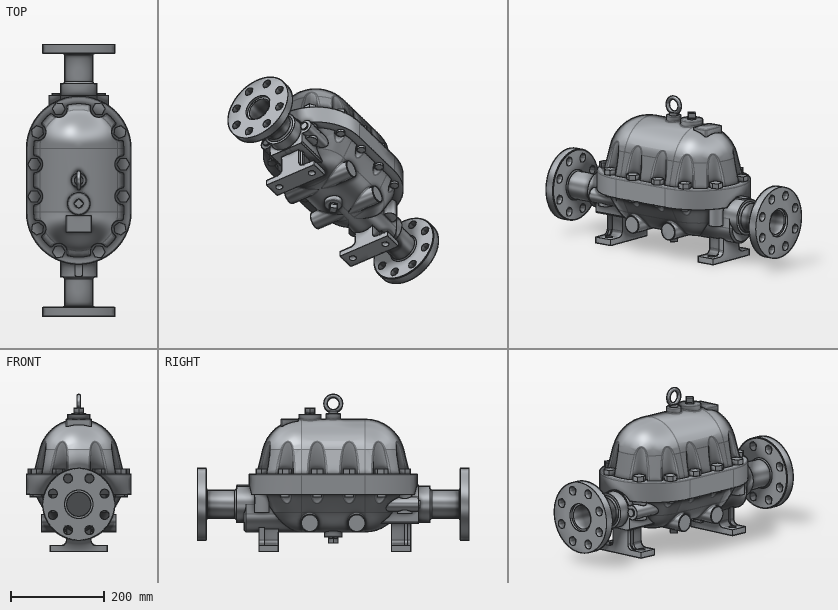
import cadquery as cq
import math


cap_offset = 68.0
band_radius = 112.5
band_top = 65.0
band_bottom = 21.5
band_taper_top = 42.5
band_edge = 2.0
draft = math.radians(14)

dome_radius = 86.2
dome_top = 183.0
dome_centre_z = dome_top - dome_radius
knee_radius = dome_radius * math.cos(draft)
knee_z = dome_centre_z + dome_radius * math.sin(draft)
dome_foot_radius = knee_radius + (knee_z - band_top) * math.tan(draft)
cover_relief_radius = 18.0
cover_relief_edge = 4.0

eye_boss_diameter = 31.5
eye_boss_top = 194.5
vent_boss_diameter = 48.0
vent_boss_top = 193.3
vent_y = -50.0
boss_edge = 2.0
nameplate_width = 54.5
nameplate_back_y = -75.0
nameplate_front_y = -112.3
nameplate_corner = 3.5
nameplate_edge = 2.0

bolt_circle_radius = 95.5
side_bolt_y = 34.5
end_bolt_angles = (22.0, 63.3)
bolt_head_flats = 24.0
bolt_head_height = 11.0
bolt_tip_diameter = 18.5
bolt_tip_bottom = 16.0

bowl_radius = 82.0
bowl_bottom = -59.6
bowl_centre_z = bowl_bottom + bowl_radius
bowl_knee_z = -17.6
bowl_knee_radius = math.sqrt(bowl_radius**2 - (bowl_centre_z - bowl_knee_z) ** 2)
bowl_wall_slope = (bowl_centre_z - bowl_knee_z) / bowl_knee_radius
bowl_rim_radius = bowl_knee_radius + (band_bottom - bowl_knee_z) * bowl_wall_slope
bowl_relief_radius = 13.0
bowl_relief_edge = 2.0

socket_diameter = 78.0
socket_end = 207.5

outlet_block_end = 182.6
outlet_block_radius = 41.5
outlet_block_bottom = -41.0
outlet_block_edge = 3.0
cast_boss_diameter = 31.5
outlet_boss_bottom = -19.6
side_boss_x = 48.5
nub_diameter = 17.0
nub_length = 3.5

inlet_boss_bottom = -17.6
trough_radius = socket_diameter / 2
trough_bottom = -60.0
trough_centre_z = trough_bottom + trough_radius
trough_end = -191.4
trough_edge = 4.4
inlet_pad_half = 8.5
inlet_pad_top = 41.5
inlet_pad_end = -206.4
inlet_pad_corner = 5.0

side_plug_diameter = 38.0
side_plug_y = 50.4
side_plug_z = -40.5
side_plug_reach = 80.5
side_plug_chamfer = 1.0
side_plug_root_fillet = 2.0
drain_boss_diameter = 38.0
drain_boss_bottom = -70.3

column_half = 22.0
foot_half_length = 61.3
foot_half_width = 20.9
foot_bottom = -101.5
foot_top = -88.5
foot_flare = 12.0
foot_hole_diameter = 15.0
foot_hole_x = 42.0
rib_half = 26.3
outlet_foot_y = 145.8
outlet_rib_y = (153.0, 159.0)
inlet_foot_y = -139.0
inlet_rib_y = (inlet_foot_y - foot_half_width, -147.5)

overall_length = 584.0
pipe_diameter = 60.5
pipe_bore = 52.0
pipe_flange_diameter = 155.0
pipe_flange_thickness = 20.0
pipe_flange_chamfer = 1.5
pipe_flange_bore = 61.1
pipe_end_recess = 6.0
flange_hole_diameter = 19.0
flange_hole_circle = 120.0
flange_hole_count = 8
socket_weld_length = 4.2
flange_weld_length = 2.5
weld_radius = 33.5

eye_tube_radius = 4.0
eye_ring_radius = 16.5
eye_centre_z = 216.0
eye_neck_diameter = 19.0
eye_neck_top = 200.5

plug_neck_diameter = 18.0
plug_neck_height = 3.2
plug_square = 15.0
plug_head_height = 10.0

on_surface = 0.01


def stadium_solid(profile):
    """Sweep a half profile (radius, z) around the stadium plan: a straight middle and two half-turned ends."""
    half = profile(cq.Workplane("XZ")).close().extrude(cap_offset, both=True)
    middle = half.union(half.mirror("YZ"))
    half_turn = profile(cq.Workplane("XZ")).close().revolve(180, (0, 0), (0, 1))
    if half_turn.val().Center().y < 0:
        half_turn = half_turn.mirror("XZ")
    end = half_turn.translate((0, cap_offset, 0))
    return middle.union(end).union(end.mirror("XZ"))


def stadium_plate(radius, bottom, top):
    plan = cq.Workplane("XY", origin=(0, 0, bottom)).slot2D(2 * (cap_offset + radius), 2 * radius, 90)
    return plan.extrude(top - bottom)


def cylinder_z(x, y, diameter, bottom, top):
    return cq.Workplane("XY", origin=(x, y, bottom)).circle(diameter / 2).extrude(top - bottom)


def cylinder_y(x, z, diameter, y_start, y_end):
    return cq.Workplane("XZ", origin=(x, y_start, z)).circle(diameter / 2).extrude(y_start - y_end)


def box(x_range, y_range, z_range):
    low, high = zip(x_range, y_range, z_range)
    size = [end - start for start, end in zip(low, high)]
    return cq.Workplane("XY").box(*size, centered=False).translate(low)


def rim_edges(solid, x, y, radius):
    """Sloping edges left on a solid by an upright cylindrical cut at (x, y)."""

    def on_cut(point):
        return abs(math.hypot(point.x - x, point.y - y) - radius) < on_surface

    def is_rim(edge):
        rises = edge.BoundingBox().zlen > on_surface
        return rises and on_cut(edge.startPoint()) and on_cut(edge.endPoint())

    return solid.edges().filter(is_rim)


def cut_reliefs(solid, spots, radius, bottom, top, edge_radius):
    """Cut a clearance groove at each bolt, then round the edges of all the grooves."""
    for x, y, _ in spots:
        solid = solid.cut(cylinder_z(x, y, 2 * radius, bottom, top))
    edges = []
    for x, y, _ in spots:
        edges += rim_edges(solid, x, y, radius).vals()
    return solid.newObject(edges).fillet(edge_radius)


side_bolts = [(x * bolt_circle_radius, y * side_bolt_y, 0.0) for x in (-1, 1) for y in (-1, 1)]


def end_bolts(angle):
    x = bolt_circle_radius * math.cos(math.radians(angle))
    y = cap_offset + bolt_circle_radius * math.sin(math.radians(angle))
    return [(i * x, j * y, i * j * angle) for i in (-1, 1) for j in (-1, 1)]


shoulder_bolts = end_bolts(end_bolt_angles[0])
boss_bolts = end_bolts(end_bolt_angles[1])
open_bolts = side_bolts + shoulder_bolts
all_bolts = open_bolts + boss_bolts


def dome_profile(plane):
    middle_angle = (math.pi / 2 + draft) / 2
    middle = (dome_radius * math.cos(middle_angle), dome_centre_z + dome_radius * math.sin(middle_angle))
    return (
        plane.moveTo(0, band_top)
        .lineTo(dome_foot_radius, band_top)
        .lineTo(knee_radius, knee_z)
        .threePointArc(middle, (0, dome_top))
    )


def add_round_boss(dome, y, diameter, top):
    """Add an upright boss, rounded where it meets the dome and around its top."""
    dome = dome.union(cylinder_z(0, y, diameter, dome_centre_z, top))

    def is_root(edge):
        start = edge.startPoint()
        on_boss = abs(math.hypot(start.x, start.y - y) - diameter / 2) < on_surface
        return on_boss and edge.geomType() != "LINE" and edge.Center().z < dome_top

    dome = dome.edges().filter(is_root).fillet(boss_edge)
    return dome.faces(cq.selectors.NearestToPointSelector((0, y, top))).edges().fillet(boss_edge)


def make_nameplate_pad():
    half = nameplate_width / 2
    pad = box((-half, half), (nameplate_front_y, nameplate_back_y), (dome_centre_z, dome_top))
    return pad.edges("|Z").fillet(nameplate_corner).faces(">Z").edges().fillet(nameplate_edge)


def make_cover():
    dome = stadium_solid(dome_profile)
    dome = cut_reliefs(dome, all_bolts, cover_relief_radius, band_top, dome_top, cover_relief_edge)
    dome = add_round_boss(dome, 0, eye_boss_diameter, eye_boss_top)
    dome = add_round_boss(dome, vent_y, vent_boss_diameter, vent_boss_top)
    return dome.union(make_nameplate_pad())


def bowl_profile(plane):
    knee_angle = math.atan2(bowl_knee_z - bowl_centre_z, bowl_knee_radius)
    middle_angle = (knee_angle - math.pi / 2) / 2
    middle = (bowl_radius * math.cos(middle_angle), bowl_centre_z + bowl_radius * math.sin(middle_angle))
    return (
        plane.moveTo(0, band_bottom)
        .lineTo(bowl_rim_radius, band_bottom)
        .lineTo(bowl_knee_radius, bowl_knee_z)
        .threePointArc(middle, (0, bowl_bottom))
    )


def make_band():
    band = stadium_plate(band_radius, band_bottom, band_top)
    band = band.faces(">Z").edges().fillet(band_edge)
    end_y = cap_offset + band_radius
    low_y = end_y - (band_taper_top - band_bottom) * math.tan(draft)
    side_shape = [
        (-end_y, band_top),
        (end_y, band_top),
        (end_y, band_taper_top),
        (low_y, band_bottom),
        (-low_y, band_bottom),
        (-end_y, band_taper_top),
    ]
    return band.intersect(cq.Workplane("YZ").polyline(side_shape).close().extrude(band_radius, both=True))


def make_side_plug(y):
    """A round bar right across the bowl, showing as a plug on each side."""
    plug = cq.Workplane("YZ", origin=(0, y, side_plug_z)).circle(side_plug_diameter / 2)
    return plug.extrude(side_plug_reach, both=True).edges().chamfer(side_plug_chamfer)


def make_bowl():
    bowl = stadium_solid(bowl_profile)
    for y in (-side_plug_y, side_plug_y):
        bowl = bowl.union(make_side_plug(y))

    def is_plug_root(edge):
        start = edge.startPoint()
        axis_distance = math.hypot(abs(start.y) - side_plug_y, start.z - side_plug_z)
        on_plug = abs(axis_distance - side_plug_diameter / 2) < on_surface
        inside_ends = abs(edge.Center().x) < side_plug_reach - 2 * side_plug_chamfer
        return on_plug and inside_ends and edge.geomType() != "LINE"

    bowl = bowl.edges().filter(is_plug_root).fillet(side_plug_root_fillet)
    return cut_reliefs(bowl, open_bolts, bowl_relief_radius, bowl_bottom, band_bottom, bowl_relief_edge)


def make_bolt_head(x, y, turn):
    corners = bolt_head_flats / math.cos(math.pi / 6)
    head = cq.Workplane("XY").polygon(6, corners).extrude(bolt_head_height)
    return head.rotate((0, 0, 0), (0, 0, 1), turn).translate((x, y, band_top))


def make_bowl_with_band():
    shell = make_bowl().union(make_band())
    for x, y, turn in all_bolts:
        shell = shell.union(make_bolt_head(x, y, turn))
    for x, y, _ in open_bolts:
        shell = shell.union(cylinder_z(x, y, bolt_tip_diameter, bolt_tip_bottom, band_bottom))
    return shell


def make_outlet_end():
    r = outlet_block_radius
    lower_block = box((-r, r), (0, outlet_block_end), (outlet_block_bottom, 0))
    end = lower_block.edges("|Y and <Z").chamfer(outlet_block_edge)
    end = end.union(cylinder_y(0, 0, 2 * r, 0, outlet_block_end))
    end = end.union(cylinder_y(0, 0, socket_diameter, 0, socket_end))
    for x in (-side_boss_x, side_boss_x):
        end = end.union(cylinder_y(x, 0, cast_boss_diameter, cap_offset, outlet_block_end))
        end = end.union(cylinder_y(x, 0, nub_diameter, cap_offset, outlet_block_end + nub_length))
    return end


def make_inlet_end():
    trough = (
        cq.Workplane("XZ")
        .moveTo(-trough_radius, 0)
        .lineTo(-trough_radius, trough_centre_z)
        .threePointArc((0, trough_bottom), (trough_radius, trough_centre_z))
        .lineTo(trough_radius, 0)
        .close()
        .extrude(-trough_end)
    )
    trough = trough.faces("<Y").edges("not(>Z)").chamfer(trough_edge)
    pad = box((-inlet_pad_half, inlet_pad_half), (inlet_pad_end, -cap_offset), (0, inlet_pad_top))
    pad = pad.edges("|Z and <Y").fillet(inlet_pad_corner)
    return cylinder_y(0, 0, socket_diameter, 0, -socket_end).union(trough).union(pad)


def foot_wall(half_width, y_range, top):
    """A wall that flares out into the top of the foot with a round at each side."""
    flare_x = half_width + foot_flare
    shift = foot_flare * (1 - math.sqrt(0.5))
    return (
        cq.Workplane("XZ", origin=(0, y_range[1], 0))
        .moveTo(-half_width, top)
        .lineTo(-half_width, foot_top + foot_flare)
        .threePointArc((-half_width - shift, foot_top + shift), (-flare_x, foot_top))
        .lineTo(-flare_x, foot_bottom)
        .lineTo(flare_x, foot_bottom)
        .lineTo(flare_x, foot_top)
        .threePointArc((half_width + shift, foot_top + shift), (half_width, foot_top + foot_flare))
        .lineTo(half_width, top)
        .close()
        .extrude(y_range[1] - y_range[0])
    )


def make_foot(y, rib_y_range, top):
    y_range = (y - foot_half_width, y + foot_half_width)
    foot = box((-foot_half_length, foot_half_length), y_range, (foot_bottom, foot_top))
    foot = foot.union(foot_wall(column_half, y_range, top))
    foot = foot.union(foot_wall(rib_half, rib_y_range, top))
    for x in (-foot_hole_x, foot_hole_x):
        foot = foot.cut(cylinder_z(x, y, foot_hole_diameter, foot_bottom, foot_top))
    return foot


def make_body():
    body = make_bowl_with_band().union(make_outlet_end()).union(make_inlet_end())
    for x, y, _ in boss_bolts:
        bottom = outlet_boss_bottom if y > 0 else inlet_boss_bottom
        body = body.union(cylinder_z(x, y, cast_boss_diameter, bottom, band_taper_top))
    drain_boss = cylinder_z(0, 0, drain_boss_diameter, drain_boss_bottom, 0)
    body = body.union(drain_boss.faces("<Z").edges().fillet(boss_edge))
    body = body.union(make_foot(outlet_foot_y, outlet_rib_y, outlet_block_bottom / 2))
    return body.union(make_foot(inlet_foot_y, inlet_rib_y, trough_centre_z))


def make_flanged_pipe():
    end_y = overall_length / 2
    back_y = end_y - pipe_flange_thickness
    pipe_end = end_y - pipe_end_recess
    rim = pipe_flange_diameter / 2
    pipe = (
        cq.Workplane("XY")
        .moveTo(pipe_bore / 2, socket_end)
        .lineTo(weld_radius, socket_end)
        .lineTo(pipe_diameter / 2, socket_end + socket_weld_length)
        .lineTo(pipe_diameter / 2, back_y - flange_weld_length)
        .lineTo(weld_radius, back_y)
        .lineTo(rim - pipe_flange_chamfer, back_y)
        .lineTo(rim, back_y + pipe_flange_chamfer)
        .lineTo(rim, end_y)
        .lineTo(pipe_flange_bore / 2, end_y)
        .lineTo(pipe_flange_bore / 2, pipe_end)
        .lineTo(pipe_bore / 2, pipe_end)
        .close()
        .revolve(360, (0, 0), (0, 1))
    )
    for index in range(flange_hole_count):
        angle = 2 * math.pi * (index + 0.5) / flange_hole_count
        x = flange_hole_circle / 2 * math.cos(angle)
        z = flange_hole_circle / 2 * math.sin(angle)
        pipe = pipe.cut(cylinder_y(x, z, flange_hole_diameter, back_y, end_y))
    return pipe


def make_eye_bolt():
    centre = cq.Vector(0, 0, eye_centre_z)
    ring = cq.Solid.makeTorus(eye_ring_radius, eye_tube_radius, centre, cq.Vector(1, 0, 0))
    neck = cylinder_z(0, 0, eye_neck_diameter, eye_boss_top, eye_neck_top)
    return neck.union(cq.Workplane(ring))


def make_plug():
    neck = cylinder_z(0, 0, plug_neck_diameter, 0, plug_neck_height)
    head = cq.Workplane("XY").rect(plug_square, plug_square).extrude(plug_neck_height + plug_head_height)
    return neck.union(head.rotate((0, 0, 0), (0, 0, 1), 45))


cover = make_cover()
body = make_body()
outlet_pipe = make_flanged_pipe()
inlet_pipe = make_flanged_pipe().rotate((0, 0, 0), (0, 0, 1), 180)
eye_bolt = make_eye_bolt()
vent_plug = make_plug().translate((0, vent_y, vent_boss_top))
drain_plug = make_plug().rotate((0, 0, 0), (1, 0, 0), 180).translate((0, 0, drain_boss_bottom))

result = cq.Compound.makeCompound(
    [
        cover.val(),
        body.val(),
        outlet_pipe.val(),
        inlet_pipe.val(),
        eye_bolt.val(),
        vent_plug.val(),
        drain_plug.val(),
    ]
)